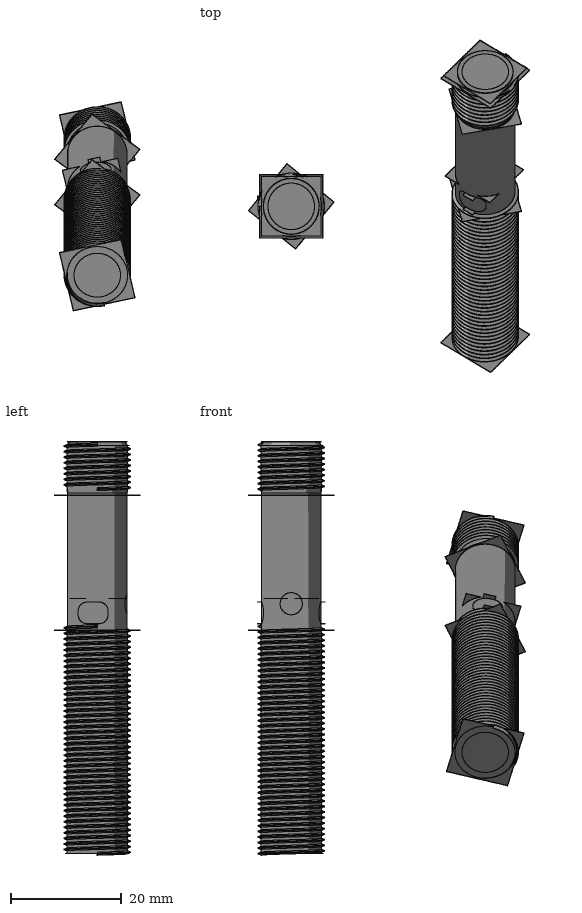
import cadquery as cq
import math


body_length = 74.4
shank_radius = 5.39
thread_root_radius = 5.48
end_chamfer_radius = 5.0
end_chamfer_length = 0.75
upper_root_start = 65.1
root_taper_length = 0.9
root_taper_depth = 0.08
shank_overlap = 1.0
bore_radius = 4.2
seam_angle = 37

pitch = 1.0
thread_crest_radius = 6.0
ridge_base_width = 0.6
ridge_crest_width = 0.1
ridge_embed = 0.1
lower_thread_start = 0.0
lower_thread_turns = 41
upper_thread_start = 65.8
upper_thread_turns = 8
turns_per_stretch = 8
thread_start_angle = 180

sheet_thickness = 0.05
top_sheet_drop = 0.04
turned_sheet_outer_size = 15.43
turned_sheet_angle = 50.7
lower_turned_sheet_z = 40.3
upper_turned_sheet_z = 64.65
end_sheet_side = 11.44
top_sheet_side = 10.7
shank_sheet_z = 46.0
shank_sheet_size_x = 9.9
shank_sheet_front_y = -5.35
shank_sheet_back_y = 4.9

slot_length = 5.4
slot_height = 3.9
slot_corner_radius = 1.6
slot_center_y = 0.75
slot_center_z = 43.45
round_window_radius = 2.0
round_window_z = 45.1
slot_lip_reach = 6.1

turned_sheet_side = turned_sheet_outer_size / (
    math.sin(math.radians(turned_sheet_angle)) + math.cos(math.radians(turned_sheet_angle))
)


def cylinder(radius, bottom, top):
    """A solid on the Z axis, its surface seam turned clear of the thread starts and windows."""
    solid = cq.Workplane("XY", origin=(0, 0, bottom)).circle(radius).extrude(top - bottom)
    return solid.rotate((0, 0, 0), (0, 0, 1), seam_angle)


def thread_ridge(start_z, turns):
    """Part of a helical ridge of trapezoid section, its inner edge sunk into the root cylinder."""
    inner_radius = thread_root_radius - ridge_embed
    helix = cq.Wire.makeHelix(pitch, turns * pitch, inner_radius)
    half_base = ridge_base_width / 2
    half_crest = ridge_crest_width / 2
    ridge = (
        cq.Workplane("XZ")
        .polyline(
            [
                (inner_radius, -half_base),
                (thread_crest_radius, -half_crest),
                (thread_crest_radius, half_crest),
                (inner_radius, half_base),
            ]
        )
        .close()
        .sweep(cq.Workplane(helix), isFrenet=True)
    )
    return ridge.rotate((0, 0, 0), (0, 0, 1), thread_start_angle).translate((0, 0, start_z))


def add_thread(body, start_z, turns):
    """Joins a thread to the body in stretches of a few turns, each continuing the last."""
    for first_turn in range(0, turns, turns_per_stretch):
        stretch_turns = min(turns_per_stretch, turns - first_turn)
        stretch = thread_ridge(start_z + first_turn * pitch, stretch_turns)
        body = body.union(stretch, clean=False)
    return body


def sheet(size_x, size_y, bottom_z, center_y=0.0):
    """A thin rectangular plate lying across the axis."""
    plate = cq.Workplane("XY").box(size_x, size_y, sheet_thickness, centered=(True, True, False))
    return plate.translate((0, center_y, bottom_z))


def turned_sheet(bottom_z):
    plate = sheet(turned_sheet_side, turned_sheet_side, bottom_z)
    return plate.rotate((0, 0, 0), (0, 0, 1), turned_sheet_angle)


def window_lugs():
    """A slot-shaped bar right across X and a round stub on -Y, limited to the shank surface."""
    slot_lug = (
        cq.Workplane("YZ")
        .center(slot_center_y, slot_center_z)
        .rect(slot_length, slot_height)
        .extrude(shank_radius, both=True)
        .edges("|X")
        .fillet(slot_corner_radius)
    )
    round_lug = (
        cq.Workplane("XZ")
        .center(0, round_window_z)
        .circle(round_window_radius)
        .extrude(shank_radius)
    )
    shank = cylinder(shank_radius, lower_turned_sheet_z, upper_turned_sheet_z)
    return slot_lug.union(round_lug).intersect(shank)


def make_core():
    return cylinder(bore_radius, 0, body_length).union(window_lugs())


def threaded_lower_end():
    root = cylinder(thread_root_radius, 0, lower_turned_sheet_z)
    return add_thread(root, lower_thread_start, lower_thread_turns)


def threaded_upper_end():
    root = cylinder(thread_root_radius, upper_root_start, body_length)
    root = root.faces(">Z").chamfer(end_chamfer_length, thread_root_radius - end_chamfer_radius)
    root = root.faces("<Z").chamfer(root_taper_length, root_taper_depth)
    return add_thread(root, upper_thread_start, upper_thread_turns)


def slot_lips():
    """Thin lips along the top and bottom edges of the slot, on both sides of the shank."""
    lip_length = slot_length - 2 * slot_corner_radius
    half_height = slot_height / 2
    lip_levels = (slot_center_z + half_height, slot_center_z - half_height - sheet_thickness)
    return [sheet(2 * slot_lip_reach, lip_length, z, slot_center_y) for z in lip_levels]


def make_housing(core):
    body = threaded_lower_end()
    shank = cylinder(shank_radius, lower_turned_sheet_z - shank_overlap, upper_root_start + shank_overlap)
    body = body.union(shank, clean=False)
    body = body.union(threaded_upper_end(), clean=False)
    shank_sheet_size_y = shank_sheet_back_y - shank_sheet_front_y
    shank_sheet_center_y = (shank_sheet_back_y + shank_sheet_front_y) / 2
    sheets = [
        turned_sheet(lower_turned_sheet_z),
        turned_sheet(upper_turned_sheet_z),
        sheet(end_sheet_side, end_sheet_side, 0),
        sheet(end_sheet_side, end_sheet_side, body_length - end_chamfer_length),
        sheet(top_sheet_side, top_sheet_side, body_length - top_sheet_drop - sheet_thickness),
        sheet(shank_sheet_size_x, shank_sheet_size_y, shank_sheet_z, shank_sheet_center_y),
        *slot_lips(),
    ]
    for plate in sheets:
        body = body.union(plate, clean=False)
    return body.cut(core, clean=False)


core = make_core()
housing = make_housing(core)
result = cq.Compound.makeCompound([housing.val(), core.val()])